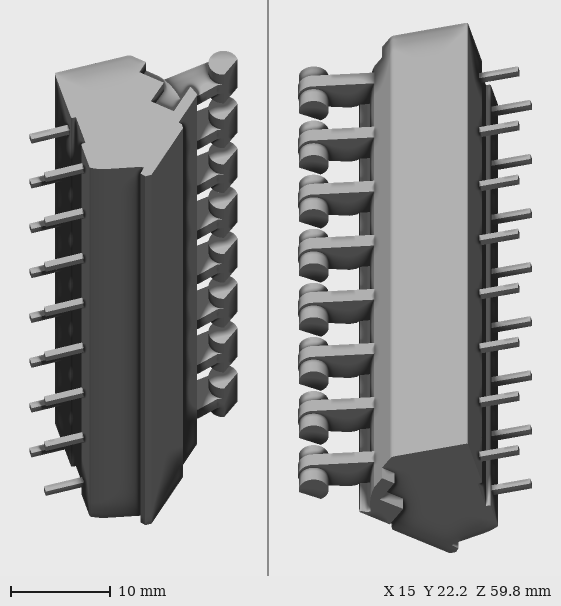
import cadquery as cq

BODY_HEIGHT = 58.35
LATCH_DEPTH = 1.45
SIDE_ROUND = 0.7
BOTTOM_EDGE_ROUND = 0.2

CHANNEL_LEFT = 5.9
CHANNEL_RIGHT = 9.25
CHANNEL_DEPTH = 0.5

UNIT_COUNT = 8
TOP_UNIT_DROP = 3.05
BOTTOM_UNIT_RISE = 2.8
TOP_UNIT_Z = BODY_HEIGHT - TOP_UNIT_DROP
UNIT_PITCH = (TOP_UNIT_Z - BOTTOM_UNIT_RISE) / (UNIT_COUNT - 1)

PIN_WIDTH = 0.7
PIN_LENGTH = 4.0
PIN_EMBED = 1.2
PIN_X = (5.0, 10.05)

LEVER_THICKNESS = 1.5
ARM_ROOT_Y = 9.55
HEAD_LENGTH = 4.8
HEAD_RADIUS = 1.5
HEAD_X = 3.1
HEAD_Y = 16.75
HEAD_TOP = HEAD_Y + HEAD_RADIUS
HEAD_FLAT_END = (4.6, 16.4)

SHOULDER_Y = 7.9
SHOULDER_RUN = 2.4
SHOULDER_END = (SHOULDER_RUN, SHOULDER_Y + SHOULDER_RUN)
CROWN_MIDDLE = (3.9, 11.05)
CROWN_END = (5.7, 11.5)


def upright(profile, bottom, height):
    """Extrude a closed XY profile from Z = bottom."""
    return profile.extrude(height).translate((0, 0, bottom))


def outline():
    """The full housing outline."""
    return (
        cq.Workplane("XY")
        .moveTo(0, 0)
        .lineTo(0, SHOULDER_Y)
        .lineTo(*SHOULDER_END)
        .threePointArc(CROWN_MIDDLE, CROWN_END)
        .lineTo(5.75, 11.85)
        .lineTo(5.45, 12.4)
        .lineTo(5.45, 12.55)
        .lineTo(6.5, 12.9)
        .lineTo(6.75, 12.9)
        .lineTo(9.5, 10.15)
        .lineTo(9.8, 10.4)
        .lineTo(10.3, 10.4)
        .lineTo(14.9, 5.8)
        .lineTo(15.0, 5.7)
        .lineTo(15.0, 5.0)
        .lineTo(14.55, 4.65)
        .lineTo(13.95, 5.2)
        .lineTo(13.75, 4.95)
        .lineTo(13.05, 1.6)
        .tangentArcPoint((12.4, 0), relative=False)
        .lineTo(CHANNEL_RIGHT, 0)
        .lineTo(CHANNEL_RIGHT, CHANNEL_DEPTH)
        .lineTo(CHANNEL_LEFT, CHANNEL_DEPTH)
        .lineTo(CHANNEL_LEFT, 0)
        .close()
    )


def latch_zone(bottom):
    """W-shaped zone which bounds the foot and the pocket, one latch depth high."""
    profile = (
        cq.Workplane("XY")
        .moveTo(0.6, 9.9)
        .lineTo(2.35, 8.2)
        .lineTo(4.3, 10.15)
        .lineTo(6.15, 8.25)
        .lineTo(8.0, 10.1)
        .lineTo(5.0, 13.1)
        .close()
    )
    return upright(profile, bottom, LATCH_DEPTH)


def lever(middle):
    """One lever arm with its cross head, centred on Z = middle."""
    arm_profile = (
        cq.Workplane("XY")
        .moveTo(2.5, ARM_ROOT_Y)
        .lineTo(1.25, 16.6)
        .threePointArc((1.6, 17.65), (2.65, HEAD_TOP))
        .lineTo(HEAD_X, HEAD_TOP)
        .lineTo(*HEAD_FLAT_END)
        .lineTo(4.5, 15.7)
        .lineTo(5.2, 13.5)
        .lineTo(5.2, 12.8)
        .lineTo(5.0, 12.45)
        .lineTo(5.15, 11.7)
        .lineTo(5.15, ARM_ROOT_Y)
        .close()
    )
    head_profile = (
        cq.Workplane("XY")
        .moveTo(HEAD_X, HEAD_TOP)
        .threePointArc((HEAD_X, HEAD_Y - HEAD_RADIUS), HEAD_FLAT_END)
        .close()
    )
    arm = upright(arm_profile, middle - LEVER_THICKNESS / 2, LEVER_THICKNESS)
    head = upright(head_profile, middle - HEAD_LENGTH / 2, HEAD_LENGTH)
    return arm.union(head)


def pin(x, middle):
    """One square pin below the housing, centred on the given X and Z."""
    length = PIN_LENGTH + PIN_EMBED
    bar = cq.Workplane("XY").box(PIN_WIDTH, length, PIN_WIDTH)
    return bar.translate((x, PIN_EMBED - length / 2, middle))


body = upright(outline(), 0, BODY_HEIGHT)
shoulder_edge = cq.selectors.NearestToPointSelector((0, SHOULDER_Y, BODY_HEIGHT / 2))
body = body.edges(shoulder_edge).fillet(SIDE_ROUND)
body = body.faces("<Y").edges("|Z").fillet(BOTTOM_EDGE_ROUND)
foot = upright(outline(), -LATCH_DEPTH, LATCH_DEPTH).intersect(latch_zone(-LATCH_DEPTH))
result = body.cut(latch_zone(BODY_HEIGHT - LATCH_DEPTH)).union(foot)

for unit in range(UNIT_COUNT):
    unit_z = TOP_UNIT_Z - unit * UNIT_PITCH
    result = result.union(lever(unit_z))
    for pin_x in PIN_X:
        result = result.union(pin(pin_x, unit_z))